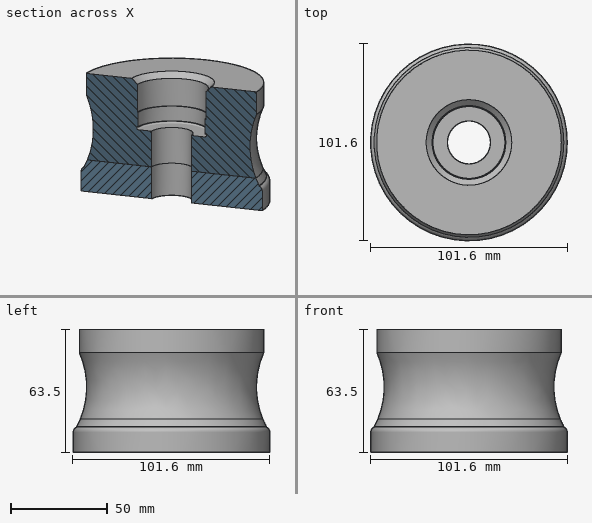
import cadquery as cq

rim_radius = 50.8
total_height = 63.5

rim_height = 13.4
rim_top_fillet = 3.0
rim_bottom_fillet = 0.5
foot_bottom_radius = 48.9
joint_height = 17.3
joint_radius = 47.1

collar_radius = 95.3 / 2
collar_height = 12.0
collar_bottom = total_height - collar_height
waist_radius = 43.9
waist_height = 33.5

through_radius = 22.0 / 2
mouth_radius = 44.2 / 2
bore_radius = 38.1 / 2
seat_radius = 37.1 / 2
relief_radius = 38.6 / 2
mouth_depth = 3.0
bore_depth = 17.8
seat_depth = 25.8
relief_depth = 1.3
relief_fillet = 0.7


def bore_cut(radius, depth):
    """Cylinder reaching down from the top face."""
    return cq.Workplane("XY").workplane(offset=total_height - depth).circle(radius).extrude(depth)


def make_base():
    rim = cq.Workplane("XY").circle(rim_radius).extrude(rim_height)
    rim = rim.faces(">Z").edges().fillet(rim_top_fillet)
    rim = rim.faces("<Z").edges().fillet(rim_bottom_fillet)
    foot_profile = (
        cq.Workplane("XZ")
        .moveTo(0, 0)
        .lineTo(foot_bottom_radius, 0)
        .lineTo(foot_bottom_radius, rim_height)
        .lineTo(joint_radius, joint_height)
        .lineTo(0, joint_height)
        .close()
    )
    foot = foot_profile.revolve(360, (0, 0, 0), (0, 1, 0))
    return rim.union(foot).cut(bore_cut(through_radius, total_height))


def make_wheel():
    profile = (
        cq.Workplane("XZ")
        .moveTo(0, joint_height)
        .lineTo(joint_radius, joint_height)
        .threePointArc((waist_radius, waist_height), (collar_radius, collar_bottom))
        .lineTo(collar_radius, total_height)
        .lineTo(0, total_height)
        .close()
    )
    wheel = profile.revolve(360, (0, 0, 0), (0, 1, 0))
    mouth = (
        cq.Workplane("XY")
        .workplane(offset=total_height)
        .circle(mouth_radius)
        .workplane(offset=-mouth_depth)
        .circle(bore_radius)
        .loft(ruled=True)
    )
    relief = (
        cq.Workplane("XY")
        .workplane(offset=total_height - seat_depth - relief_depth)
        .circle(relief_radius)
        .extrude(relief_depth)
        .faces("<Z")
        .edges()
        .fillet(relief_fillet)
    )
    return (
        wheel.cut(mouth)
        .cut(bore_cut(bore_radius, bore_depth))
        .cut(bore_cut(seat_radius, seat_depth))
        .cut(relief)
        .cut(bore_cut(through_radius, total_height))
    )


base = make_base()
wheel = make_wheel()
result = cq.Compound.makeCompound([base.val(), wheel.val()])